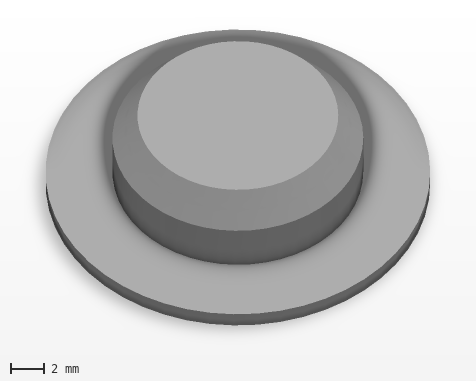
import cadquery as cq

flange_diameter = 23.0
boss_diameter = 15.0
top_diameter = 12.0
total_height = 6.0
flange_thickness = 1.0
taper_height = 2.0

flange_radius = flange_diameter / 2
boss_radius = boss_diameter / 2
top_radius = top_diameter / 2
taper_start = total_height - taper_height

half_section = (
    cq.Workplane("XZ")
    .moveTo(0, 0)
    .lineTo(flange_radius, 0)
    .lineTo(flange_radius, flange_thickness)
    .lineTo(boss_radius, flange_thickness)
    .lineTo(boss_radius, taper_start)
    .lineTo(top_radius, total_height)
    .lineTo(0, total_height)
    .close()
)

result = half_section.revolve(360, (0, 0, 0), (0, 1, 0))